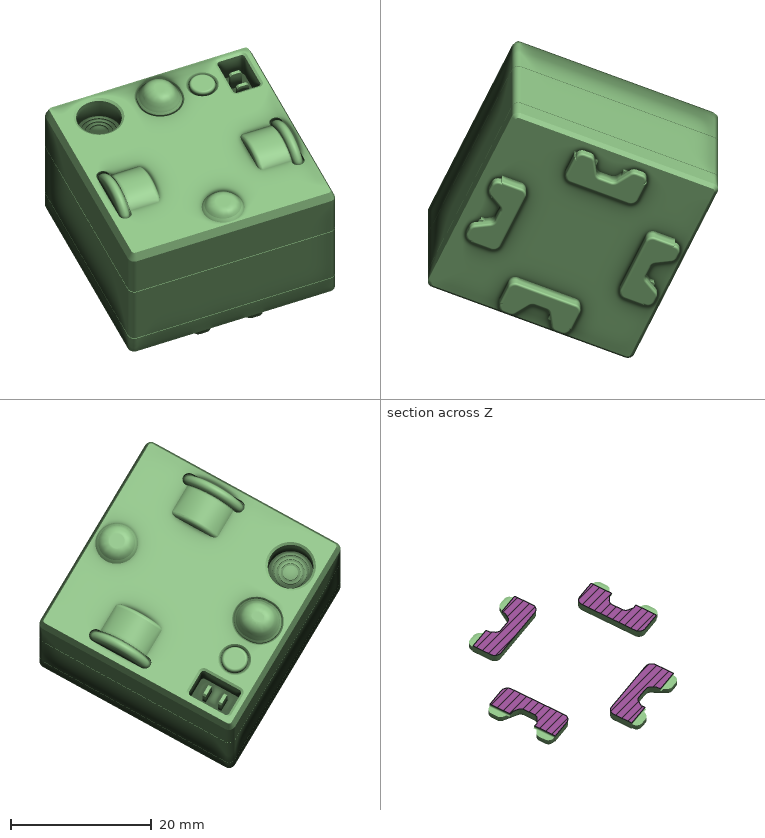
import cadquery as cq
import math

side = 31.8
body_height = 20.38
corner_radius = 1.0
bottom_chamfer = 0.55
top_bevel_height = 1.2
top_bevel_inset = 0.57
seam_heights = (3.25, 12.85)
seam_width = 0.1
seam_depth = 0.1

column_x = -11.1

socket_y = 12.25
socket_length = 6.52
socket_width = 4.2
socket_corner = 0.48
socket_depth = 4.0
socket_bevel_width = 0.35
socket_bevel_depth = 0.2
prong_spacing = 2.55
prong_thickness = 0.5
prong_width = 1.78
prong_drop = 1.15
prong_chamfer = 0.3

button_y = 6.6
button_hole_radius = 2.32
button_bevel = 0.3
button_recess = 0.48
button_radius = 1.88
button_height = 0.3
button_edge = 0.38

lamp_stretch = 0.55
lamp_seat_radius = 3.45
lamp_base_radius = 3.15
lamp_rim_radius = 2.9
lamp_rim_height = 0.25
lamp_shoulder_radius = 2.45
lamp_shoulder_height = 0.92
lamp_flat_radius = 0.67
lamp_height = 2.05

buzzer_y = -9.32
buzzer_radius = 3.25
buzzer_bevel_width = 0.35
buzzer_bevel_depth = 0.25
buzzer_depth = 3.18
ring_first_radius = 1.08
ring_count = 4
ring_depth = 0.2

knob_x = 12.0
knob_base_radius = 3.02
knob_shoulder_radius = 2.6
knob_shoulder_height = 0.38
knob_flat_radius = 1.1
knob_height = 1.25

wheel_x = 3.8
wheel_y = 13.32
tire_radius = 5.88
tire_width = 1.53
tire_height = 2.05
hub_height = 1.35
hub_half_chord = 3.75
hub_neck_step = 0.15
hub_neck_length = 0.15
hub_end_y = 7.5
hub_fillet = 0.6
tire_well_length = 9.9
tire_well_width = 1.88
well_depth = 0.65

foot_height = 1.85
foot_half_width = 5.53
foot_inner = 9.3
foot_outer = 13.4
foot_inner_fillet = 1.05
foot_bottom_fillet = 0.32
notch_floor_out = 11.65
notch_floor_half_width = 1.35
notch_side_slope = 0.6
notch_fillet = 0.85
upper_half_gap = 2.0
lip_outer = 14.47
lip_height = 1.08
lip_half_width = 5.4
lip_corner = 0.92
lip_root_fillet = 0.2


def make_body():
    straight_height = body_height - top_bevel_height
    bevel_angle = math.degrees(math.atan2(top_bevel_inset, top_bevel_height))
    block = (
        cq.Workplane("XY").rect(side, side).extrude(straight_height)
        .edges("|Z").fillet(corner_radius)
        .faces("<Z").edges().chamfer(bottom_chamfer)
    )
    block = block.faces(">Z").wires().toPending().extrude(top_bevel_height, taper=bevel_angle)
    for height in seam_heights:
        block = block.cut(seam_groove(height))
    return block


def seam_groove(height):
    """Shallow square ring that runs round the block at the given mid height."""
    core_side = side - 2 * seam_depth
    plane = cq.Workplane("XY", origin=(0, 0, height - seam_width / 2))
    core = (
        plane.rect(core_side, core_side).extrude(seam_width)
        .edges("|Z").fillet(corner_radius - seam_depth)
    )
    return plane.rect(side, side).extrude(seam_width).cut(core)


def top_plane(x, y, lift=0):
    return cq.Workplane("XY", origin=(x, y, body_height + lift))


def bevel_cone(radius, width, depth):
    """Countersink about the Z axis with its large end, of the given radius, at Z = 0."""
    return cq.Workplane(cq.Solid.makeCone(radius - width, radius, depth, cq.Vector(0, 0, -depth)))


def add_socket(part):
    well = (
        top_plane(column_x, socket_y).rect(socket_length, socket_width).extrude(-socket_depth)
        .edges("|Z").fillet(socket_corner)
    )
    mouth_angle = math.degrees(math.atan2(socket_bevel_width, socket_bevel_depth))
    mouth = (
        well.faces(">Z").workplane(offset=-socket_bevel_depth)
        .sketch().rect(socket_length, socket_width).vertices().fillet(socket_corner).finalize()
        .extrude(socket_bevel_depth, taper=-mouth_angle, combine=False)
    )
    prongs = (
        top_plane(column_x, socket_y, -socket_depth).rarray(prong_spacing, 0.32, 2, 1)
        .rect(prong_thickness, prong_width).extrude(socket_depth - prong_drop)
        .faces(">Z").edges("|X").chamfer(prong_chamfer)
    )
    return part.cut(well).cut(mouth).union(prongs)


def add_button(part):
    pocket_radius = button_hole_radius - button_bevel
    pocket = top_plane(column_x, button_y).circle(pocket_radius).extrude(-button_recess)
    button = (
        top_plane(column_x, button_y, -button_recess).circle(button_radius)
        .extrude(button_recess + button_height).faces(">Z").edges().fillet(button_edge)
    )
    bevel = bevel_cone(button_hole_radius, button_bevel, button_bevel)
    return part.cut(pocket).cut(bevel.translate((column_x, button_y, body_height))).union(button)


def dome(skirt, flat_radius, height):
    """Solid of revolution: skirt points from the bottom up, then an arc level with the flat top."""
    base_z = skirt[0][1]
    shoulder_radius, shoulder_z = skirt[-1]
    run = shoulder_radius - flat_radius
    rise = height - shoulder_z
    arc_radius = (run ** 2 + rise ** 2) / (2 * rise)
    half_sweep = math.atan2(run, arc_radius - rise) / 2
    arc_middle = (
        flat_radius + arc_radius * math.sin(half_sweep),
        height - arc_radius * (1 - math.cos(half_sweep)),
    )
    return (
        cq.Workplane("XZ").polyline([(0, base_z)] + skirt)
        .threePointArc(arc_middle, (flat_radius, height))
        .lineTo(0, height).close().revolve(360, (0, 0), (0, 1))
    )


def stretched(round_solid, stretch):
    """Split a round solid at X = 0, pull the halves apart and fill the gap with its section."""
    reach = 4 * lamp_seat_radius
    half_space = cq.Workplane("XY").box(reach, reach, reach, centered=(False, True, True))
    half = round_solid.intersect(half_space)
    filler = half.faces("<X").wires().toPending().workplane().extrude(stretch, combine=False)
    shift = (stretch / 2, 0, 0)
    half = half.translate(shift)
    return half.union(filler.translate(shift)).union(half.mirror("YZ"))


def add_lamp(part):
    seat_bevel = lamp_seat_radius - lamp_base_radius
    seat = bevel_cone(lamp_seat_radius, seat_bevel, seat_bevel)
    skirt = [
        (lamp_base_radius, -seat_bevel),
        (lamp_base_radius, 0),
        (lamp_rim_radius, lamp_rim_height),
        (lamp_shoulder_radius, lamp_shoulder_height),
    ]
    lamp = dome(skirt, lamp_flat_radius, lamp_height)
    place = (column_x, 0, body_height)
    part = part.cut(stretched(seat, lamp_stretch).translate(place))
    return part.union(stretched(lamp, lamp_stretch).translate(place))


def add_buzzer(part):
    mouth_radius = buzzer_radius + buzzer_bevel_width
    part = part.cut(top_plane(column_x, buzzer_y).circle(buzzer_radius).extrude(-buzzer_depth))
    bevel = bevel_cone(mouth_radius, buzzer_bevel_width, buzzer_bevel_depth)
    part = part.cut(bevel.translate((column_x, buzzer_y, body_height)))
    ring_width = (buzzer_radius - ring_first_radius) / (2 * ring_count - 1)
    for index in range(ring_count):
        inner = ring_first_radius + 2 * index * ring_width
        ring = (
            top_plane(column_x, buzzer_y, -buzzer_depth).circle(inner + ring_width).circle(inner)
            .extrude(-ring_depth)
        )
        part = part.cut(ring)
    return part


def add_knob(part):
    skirt = [(knob_base_radius, 0), (knob_shoulder_radius, knob_shoulder_height)]
    knob = dome(skirt, knob_flat_radius, knob_height)
    return part.union(knob.translate((knob_x, 0, body_height)))


def add_wheel(part):
    """Wheel on the +Y side: rounded tire with a hub pointing to the middle of the block."""
    axle_z = body_height + tire_height - tire_radius
    tread_radius = tire_width / 2
    tire = (
        cq.Workplane("XY").moveTo(0, -tread_radius).lineTo(tire_radius - tread_radius, -tread_radius)
        .threePointArc((tire_radius, 0), (tire_radius - tread_radius, tread_radius))
        .lineTo(0, tread_radius).close().revolve(360, (0, 0), (0, 1))
        .translate((wheel_x, wheel_y, axle_z))
    )
    hub_radius = (hub_half_chord ** 2 + hub_height ** 2) / (2 * hub_height)
    hub_z = body_height + hub_height - hub_radius
    hub_start_y = wheel_y - tread_radius - hub_neck_length
    hub = (
        cq.Workplane("XZ", origin=(wheel_x, hub_start_y, hub_z)).circle(hub_radius)
        .extrude(hub_start_y - hub_end_y).faces("<Y").edges().fillet(hub_fillet)
    )
    neck = (
        cq.Workplane("XZ", origin=(wheel_x, wheel_y, hub_z)).circle(hub_radius - hub_neck_step)
        .extrude(wheel_y - hub_end_y - hub_fillet)
    )
    tire_well = (
        top_plane(wheel_x, wheel_y).slot2D(tire_well_length, tire_well_width).extrude(-well_depth)
    )
    return part.cut(tire_well).union(tire).union(hub).union(neck)


def notch_half_width(out):
    return notch_floor_half_width + notch_side_slope * (out - notch_floor_out)


def lip_root(start_x, length):
    """Strip with a concave round that fills the corner between an arm and the top of its lip."""
    corner_y = -foot_outer
    corner_z = lip_height - foot_height
    arc_middle = lip_root_fillet * (1 - math.sqrt(0.5))
    return (
        cq.Workplane("YZ", origin=(start_x, corner_y, corner_z)).lineTo(-lip_root_fillet, 0)
        .threePointArc((-arc_middle, arc_middle), (0, lip_root_fillet)).close().extrude(length)
    )


def make_foot():
    """Clip under the -Y side: a notched block with a lip along the outside of each arm."""
    block_depth = foot_outer - foot_inner
    block = (
        cq.Workplane("XY", origin=(0, -foot_inner - block_depth / 2, 0))
        .rect(2 * foot_half_width, block_depth).extrude(-foot_height)
        .edges("|Z and >Y").fillet(foot_inner_fillet)
    )
    lip_depth = lip_outer - notch_floor_out
    lips = (
        cq.Workplane("XY", origin=(0, -lip_outer + lip_depth / 2, -foot_height))
        .rect(2 * lip_half_width, lip_depth).extrude(lip_height)
    )
    mouth = notch_half_width(lip_outer)
    notch = (
        cq.Workplane("XY").polyline([
            (-mouth, -lip_outer), (-notch_floor_half_width, -notch_floor_out),
            (notch_floor_half_width, -notch_floor_out), (mouth, -lip_outer),
        ]).close().extrude(-foot_height)
        .edges("|Z and >Y").fillet(notch_fillet)
    )
    lips = lips.cut(notch).edges("|Z and <Y").fillet(lip_corner)
    upper_gap = cq.Workplane("XY").rect(2 * upper_half_gap, 2 * lip_outer).extrude(-foot_height)
    above_lips = cq.Workplane("XY").rect(side, side).extrude(lip_height - foot_height)
    narrow_notch = notch.cut(above_lips).union(notch.intersect(above_lips).intersect(upper_gap))
    foot = block.cut(narrow_notch).union(lips)
    foot = foot.faces("<Z").edges().fillet(foot_bottom_fillet)
    for arm_inside in (-lip_half_width, upper_half_gap):
        foot = foot.union(lip_root(arm_inside, lip_half_width - upper_half_gap))
    return foot


result = make_body()
result = add_socket(result)
result = add_button(result)
result = add_lamp(result)
result = add_buzzer(result)
result = add_knob(result)
result = add_wheel(result)
result = add_wheel(result.mirror("XZ")).mirror("XZ")
foot = make_foot()
for quarter_turn in range(4):
    result = result.union(foot.rotate((0, 0, 0), (0, 0, 1), 90 * quarter_turn))